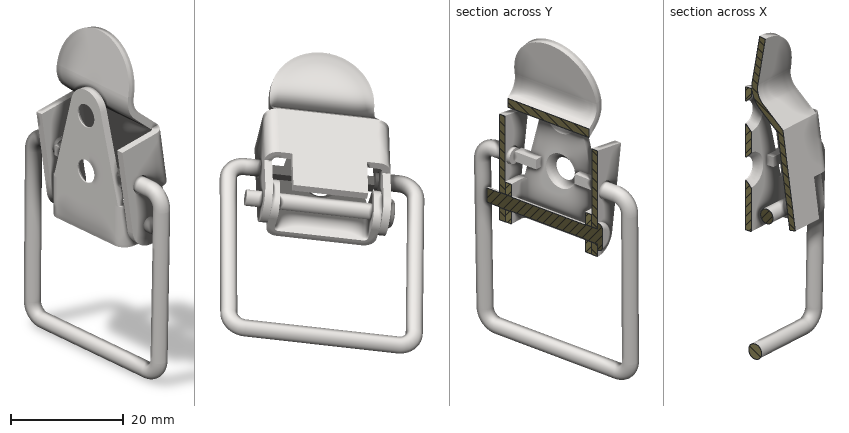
import cadquery as cq
import math


base_thickness = 1.45
base_front_y = -4.9
base_half_width = 9.9
base_bend_radius = 2.3
cheek_half_height = 4.0
cheek_back_y = 2.7
cheek_corner_radius = 2.65
base_back_y = base_front_y + base_thickness
plate_shoulder_half = 8.5
plate_tip_radius = 4.0
plate_tip_z = 20.0
plate_hole_radius = 2.2
plate_hole_zs = (7.95, 18.9)
countersink_land = 0.25
countersink_slope = 45.0

lug_outer_x = 9.4
lug_length = 5.0
lug_side = 1.95
lug_front_y = -3.9
lug_bottom_z = 7.45

lever_tilt = 8.5
lever_thickness = 1.4
lever_half_width = 11.4
lever_back_y = 6.3
wall_half_depth = 4.05
wall_top_z = 16.95
channel_bottom_z = 5.95
lever_bend_radius = lever_back_y - wall_half_depth
tongue_width = 13.5
tongue_bottom_z = -2.0
lever_inner_y = lever_back_y - lever_thickness

handle_width = 18.85
slant_angle = 41.5
tip_angle = 18.8
handle_outer_radius = 5.0
handle_bend_y = 5.1
handle_bend_z = 23.85
tip_length = 9.6

pin_radius = 1.45
pin_end_x = 14.2
pin_head_radius = 2.7
pin_head_height = 1.15
pin_head_rounding = 1.1

wire_radius = 1.5
bail_bend_radius = 3.0
bail_top_half = 16.95
bail_bottom_half = 16.75
bail_y = -2.1
bail_z = 8.5
bail_drop = 35.5
bail_tilt = 0.9
bail_end_x = lug_outer_x
bail_hole_radius = 1.8


def x_cylinder(radius, start_x, end_x, y=0.0, z=0.0):
    """Cylinder along X between two X positions."""
    length = end_x - start_x
    return cq.Workplane("YZ", origin=(start_x, y, z)).circle(radius).extrude(length)


def channel(half_width, bend_radius, thickness, back_y, open_y, bottom_z, top_z):
    """Upright U channel: a web whose outer face is at back_y, with two walls ending at open_y."""
    depth = abs(back_y - open_y)
    middle_y = (back_y + open_y) / 2
    height = top_z - bottom_z
    toward_open = math.copysign(1, open_y - back_y)
    web_edges = "|Z and <Y" if toward_open > 0 else "|Z and >Y"

    def block(half, shift, radius):
        body = cq.Workplane("XY", origin=(0, middle_y + shift, bottom_z))
        body = body.rect(2 * half, depth).extrude(height)
        return body.edges(web_edges).fillet(radius)

    outer = block(half_width, 0, bend_radius)
    inner = block(half_width - thickness, toward_open * thickness, bend_radius - thickness)
    return outer.cut(inner)


def countersunk_hole(z):
    """Cutter for a plate hole that opens out toward the back of the plate."""
    sink_y = base_front_y + countersink_land
    back_radius = plate_hole_radius + (base_back_y - sink_y) * math.tan(
        math.radians(countersink_slope)
    )
    return (
        cq.Workplane("XY", origin=(0, 0, z))
        .moveTo(0, base_front_y)
        .lineTo(plate_hole_radius, base_front_y)
        .lineTo(plate_hole_radius, sink_y)
        .lineTo(back_radius, base_back_y)
        .lineTo(0, base_back_y)
        .close()
        .revolve(360, (0, 0, 0), (0, 1, 0))
    )


def make_base():
    base = channel(
        base_half_width, base_bend_radius, base_thickness,
        base_front_y, cheek_back_y, -cheek_half_height, cheek_half_height,
    )
    base = base.edges("|X and >Y").fillet(cheek_corner_radius)

    rise = plate_tip_z - cheek_half_height
    reach = math.hypot(plate_shoulder_half, rise)
    tangent_angle = math.acos(plate_tip_radius / reach) - math.atan2(rise, plate_shoulder_half)
    tangent_x = plate_tip_radius * math.cos(tangent_angle)
    tangent_z = plate_tip_z + plate_tip_radius * math.sin(tangent_angle)
    plate = (
        cq.Workplane("XZ", origin=(0, base_back_y, 0))
        .moveTo(-plate_shoulder_half, cheek_half_height)
        .lineTo(plate_shoulder_half, cheek_half_height)
        .lineTo(tangent_x, tangent_z)
        .threePointArc((0, plate_tip_z + plate_tip_radius), (-tangent_x, tangent_z))
        .close()
        .extrude(base_thickness)
    )
    base = base.union(plate)

    for side in (-1, 1):
        lug = cq.Workplane("XY").box(lug_length, lug_side, lug_side).translate((
            side * (lug_outer_x - lug_length / 2),
            lug_front_y + lug_side / 2,
            lug_bottom_z + lug_side / 2,
        ))
        base = base.union(lug)

    for z in plate_hole_zs:
        base = base.cut(countersunk_hole(z))
    return base.cut(x_cylinder(pin_radius, -base_half_width, base_half_width))


def make_handle():
    """Handle before tilting: one bent strip whose tip is rounded into a half circle."""
    slant = math.radians(slant_angle)
    tip = math.radians(tip_angle)
    middle = (tip - slant) / 2
    inner_radius = handle_outer_radius - lever_thickness

    def on_bend(radius, lean):
        """Point on the bend where the strip leans back by the given angle."""
        return (
            handle_bend_y - radius * math.cos(lean),
            handle_bend_z + radius * math.sin(lean),
        )

    def slant_foot(radius, face_y):
        """Point where a face of the slanted strip reaches the given Y."""
        y, z = on_bend(radius, -slant)
        return (face_y, z - (face_y - y) / math.tan(slant))

    def tip_end(radius):
        y, z = on_bend(radius, tip)
        return (y + tip_length * math.sin(tip), z + tip_length * math.cos(tip))

    front_foot = slant_foot(handle_outer_radius, lever_inner_y)
    strip = (
        cq.Workplane("YZ", origin=(-handle_width / 2, 0, 0))
        .moveTo(*front_foot)
        .lineTo(*on_bend(handle_outer_radius, -slant))
        .threePointArc(on_bend(handle_outer_radius, middle), on_bend(handle_outer_radius, tip))
        .lineTo(*tip_end(handle_outer_radius))
        .lineTo(*tip_end(inner_radius))
        .lineTo(*on_bend(inner_radius, tip))
        .threePointArc(on_bend(inner_radius, middle), on_bend(inner_radius, -slant))
        .lineTo(*slant_foot(inner_radius, lever_back_y))
        .lineTo(lever_back_y, front_foot[1])
        .close()
        .extrude(handle_width)
    )
    end_y, end_z = tip_end(handle_outer_radius)
    tip_plane = cq.Plane(
        origin=(0, end_y, end_z), xDir=(1, 0, 0), normal=(0, -math.cos(tip), math.sin(tip))
    )
    radius = handle_width / 2
    corners = (
        cq.Workplane(tip_plane)
        .rect(handle_width, handle_width)
        .extrude(-lever_thickness)
        .cut(cq.Workplane(tip_plane).center(0, -radius).circle(radius).extrude(-lever_thickness))
    )
    return strip.cut(corners)


def make_lever():
    lever = channel(
        lever_half_width, lever_bend_radius, lever_thickness,
        lever_back_y, -wall_half_depth, channel_bottom_z, wall_top_z,
    )
    for side in (-1, 1):
        wall_x = side * (lever_half_width - lever_thickness / 2)
        wall = cq.Workplane("XY").box(lever_thickness, 2 * wall_half_depth, wall_top_z)
        wall = wall.translate((wall_x, 0, wall_top_z / 2))
        wall_end = x_cylinder(
            wall_half_depth, wall_x - lever_thickness / 2, wall_x + lever_thickness / 2
        )
        lever = lever.union(wall).union(wall_end)

    tongue_height = wall_top_z - tongue_bottom_z
    tongue = cq.Workplane("XY").box(tongue_width, lever_thickness, tongue_height).translate(
        (0, lever_back_y - lever_thickness / 2, tongue_bottom_z + tongue_height / 2)
    )
    lever = lever.union(tongue).union(make_handle())
    lever = lever.rotate((0, 0, 0), (1, 0, 0), lever_tilt)

    pin_hole = x_cylinder(pin_radius, -lever_half_width, lever_half_width)
    lever = lever.cut(pin_hole)
    for start_x in (-lever_half_width, lever_half_width - lever_thickness):
        end_x = start_x + lever_thickness
        lever = lever.cut(x_cylinder(bail_hole_radius, start_x, end_x, bail_y, bail_z))
    return lever


def make_pin():
    shaft = x_cylinder(pin_radius, -lever_half_width, pin_end_x)
    head = x_cylinder(pin_head_radius, -lever_half_width - pin_head_height, -lever_half_width)
    return shaft.union(head.edges("<X").fillet(pin_head_rounding))


def make_bail():
    """Bent wire; its path is drawn in a plane through the two upper ends."""
    tilt = math.radians(bail_tilt)
    plane = cq.Plane(
        origin=(0, bail_y, bail_z), xDir=(1, 0, 0), normal=(0, -math.cos(tilt), math.sin(tilt))
    )
    lean = math.atan2(bail_top_half - bail_bottom_half, bail_drop)
    r = bail_bend_radius
    diagonal = r * math.sqrt(0.5)
    top_x = bail_top_half - r
    bottom_x = bail_bottom_half - r
    bottom = -bail_drop
    path = (
        cq.Workplane(plane)
        .moveTo(-bail_end_x, 0)
        .lineTo(-top_x, 0)
        .threePointArc(
            (-top_x - diagonal, diagonal - r),
            (-top_x - r * math.cos(lean), -r - r * math.sin(lean)),
        )
        .lineTo(-bottom_x - r * math.cos(lean), bottom + r - r * math.sin(lean))
        .threePointArc((-bottom_x - diagonal, bottom + r - diagonal), (-bottom_x, bottom))
        .lineTo(bottom_x, bottom)
        .threePointArc(
            (bottom_x + diagonal, bottom + r - diagonal),
            (bottom_x + r * math.cos(lean), bottom + r - r * math.sin(lean)),
        )
        .lineTo(top_x + r * math.cos(lean), -r - r * math.sin(lean))
        .threePointArc((top_x + diagonal, diagonal - r), (top_x, 0))
        .lineTo(bail_end_x, 0)
    )
    wire_section = cq.Workplane("YZ", origin=(-bail_end_x, bail_y, bail_z)).circle(wire_radius)
    return wire_section.sweep(path)


base = make_base()
lever = make_lever()
pin = make_pin()
bail = make_bail()

result = cq.Compound.makeCompound([
    base.solids().val(),
    lever.solids().val(),
    pin.solids().val(),
    bail.solids().val(),
])